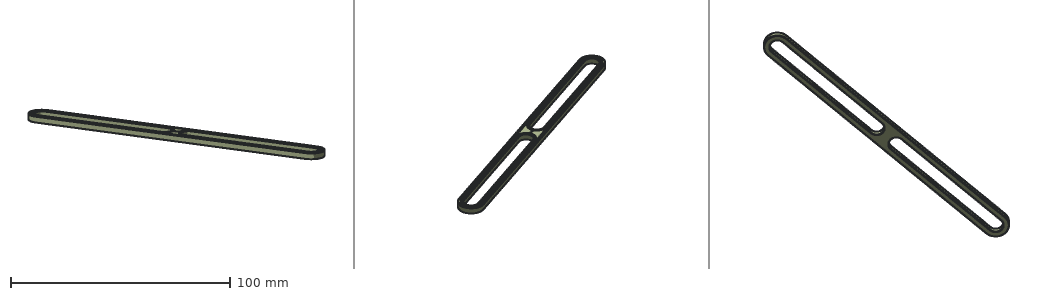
import cadquery as cq

LENGTH = 150.0
WIDTH = 12.5
HEIGHT = 3.2

WINDOW_WIDTH = 6.9
EDGE_BEVEL = 0.3

RECESS_MARGIN = 1.12
RECESS_DEPTH = 0.22
RIB_WIDTH = 0.22

wall = (WIDTH - WINDOW_WIDTH) / 2
bridge = 2 * wall
window_length = (LENGTH - bridge) / 2 - wall
window_offset = (bridge + window_length) / 2


def round_ended_bar(length, width, height):
    """Bar with semicircular ends along X, standing on the XY plane."""
    return cq.Workplane("XY").slot2D(length, width).extrude(height)


def band(margin, height):
    """Frame with two windows, its side walls all moved inwards by margin."""
    body = round_ended_bar(LENGTH - 2 * margin, WIDTH - 2 * margin, height)
    window = round_ended_bar(window_length + 2 * margin, WINDOW_WIDTH + 2 * margin, height)
    for side in (-1, 1):
        body = body.cut(window.translate((side * window_offset, 0, 0)))
    return body


frame = band(0, HEIGHT).faces("|Z").edges().chamfer(EDGE_BEVEL)

rib = cq.Workplane("XY").box(bridge, RIB_WIDTH, HEIGHT)
recess = band(RECESS_MARGIN, RECESS_DEPTH).cut(rib)
frame = frame.cut(recess.translate((0, 0, HEIGHT - RECESS_DEPTH)))

result = frame.translate((0, 0, -HEIGHT / 2))